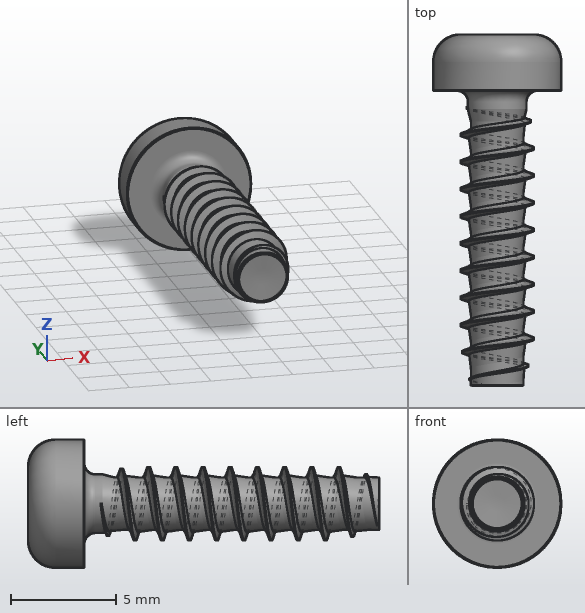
import cadquery as cq
import math


head_radius = 3.05
head_height = 2.69
crown_radius = 1.32
bearing_edge_chamfer = 0.05

shank_length = 14.0
neck_radius = 1.40
neck_fillet = 0.5
neck_end_depth = 0.86
core_radius = 1.25
core_start_depth = 1.45
tip_chamfer_width = 0.09
tip_chamfer_height = 0.04
tip_dish_depth = 0.08

thread_pitch = 1.29
thread_radius = 1.75
thread_height = thread_radius - core_radius
thread_start_angle = -math.pi
thread_start_depth = 0.785
run_in_turns = 1.0
full_turns = 7.75
run_out_turns = 1.4
start_height_ratio = 0.43
end_height_ratio = 0.05
points_per_turn = 24

crest_half_width = 0.03
knee_offset = -0.13
knee_height = 0.195
lead_foot_offset = -0.25
trail_root_offset = 0.15
trail_root_height = 0.1
trail_foot_offset = 0.83
foot_sink = 0.025

lead_run = foot_sink * (knee_offset - lead_foot_offset) / knee_height
trail_run = foot_sink * (trail_foot_offset - trail_root_offset) / trail_root_height

trail_foot = (trail_foot_offset + trail_run, -foot_sink)
ridge_section = [
    (lead_foot_offset - lead_run, -foot_sink),
    (knee_offset, knee_height),
    (-crest_half_width, thread_height),
    (crest_half_width, thread_height),
    (trail_root_offset, trail_root_height),
    trail_foot,
]


def make_blank():
    """Head, neck and core, turned about the Y axis."""
    crown_flat_radius = head_radius - crown_radius
    crown_start = head_height - crown_radius
    arc_share = math.sqrt(0.5)
    neck_fillet_center = neck_radius + neck_fillet
    return (
        cq.Workplane("XY")
        .moveTo(0, head_height)
        .lineTo(crown_flat_radius, head_height)
        .threePointArc(
            (crown_flat_radius + crown_radius * arc_share, crown_start + crown_radius * arc_share),
            (head_radius, crown_start),
        )
        .lineTo(head_radius, bearing_edge_chamfer)
        .lineTo(head_radius - bearing_edge_chamfer, 0)
        .lineTo(neck_fillet_center, 0)
        .threePointArc(
            (neck_fillet_center - neck_fillet * arc_share, -neck_fillet + neck_fillet * arc_share),
            (neck_radius, -neck_fillet),
        )
        .lineTo(neck_radius, -neck_end_depth)
        .lineTo(core_radius, -core_start_depth)
        .lineTo(core_radius, -(shank_length - tip_chamfer_height))
        .lineTo(core_radius - tip_chamfer_width, -shank_length)
        .lineTo(0, -(shank_length - tip_dish_depth))
        .close()
        .revolve(360, (0, 0, 0), (0, 1, 0))
    )


def height_ratio(turns):
    """Share of the full ridge height reached after a number of turns."""
    if turns < run_in_turns:
        return start_height_ratio + (1 - start_height_ratio) * turns / run_in_turns
    run_out_progress = max(0.0, turns - run_in_turns - full_turns) / run_out_turns
    return 1 + (end_height_ratio - 1) * run_out_progress


def ridge_point(section_point, turns):
    """Place one corner of the ridge section after a number of turns.

    The ridge shrinks in height and width along its run-in and run-out, while
    its base stays just below the core and its long trailing foot keeps its place.
    """
    offset, height = section_point
    ratio = height_ratio(turns)
    if section_point != trail_foot:
        offset *= ratio
    if height > 0:
        height *= ratio
    radius = core_radius + height
    angle = thread_start_angle + 2 * math.pi * turns
    depth = thread_start_depth + thread_pitch * turns + offset
    return cq.Vector(radius * math.cos(angle), -depth, radius * math.sin(angle))


def ridge_stretch(first_turn, last_turn):
    """Ruled faces around the ridge between two numbers of turns."""
    step_count = math.ceil(points_per_turn * (last_turn - first_turn))
    step = (last_turn - first_turn) / step_count
    turn_values = [first_turn + step * i for i in range(step_count)] + [last_turn]
    edges = []
    for section_point in ridge_section:
        points = [ridge_point(section_point, turns) for turns in turn_values]
        edges.append(cq.Edge.makeSpline(points))
    next_edges = edges[1:] + edges[:1]
    return [cq.Face.makeRuledSurface(edge, next_edge) for edge, next_edge in zip(edges, next_edges)]


def ridge_cap(turns):
    """Flat end face of the ridge."""
    corners = [ridge_point(section_point, turns) for section_point in ridge_section]
    return cq.Face.makeFromWires(cq.Wire.makePolygon(corners, close=True))


def make_ridge():
    """Helical ridge: a run-in, single full turns with a remainder, and a run-out."""
    run_out_start = run_in_turns + full_turns
    thread_end = run_out_start + run_out_turns
    breaks = [0.0]
    breaks += [run_in_turns + i for i in range(math.ceil(full_turns))]
    breaks += [run_out_start, thread_end]

    faces = [ridge_cap(0.0), ridge_cap(thread_end)]
    for first_turn, last_turn in zip(breaks, breaks[1:]):
        faces += ridge_stretch(first_turn, last_turn)
    return cq.Workplane("XY").add(cq.Solid.makeSolid(cq.Shell.makeShell(faces)).fix())


def make_thread():
    """Ridge trimmed at the start of the tip chamfer."""
    limit = cq.Workplane("XZ").circle(head_radius).extrude(shank_length - tip_chamfer_height)
    return make_ridge().intersect(limit)


screw = make_blank().union(make_thread())
result = cq.Workplane("XY").newObject([screw.solids().val()])